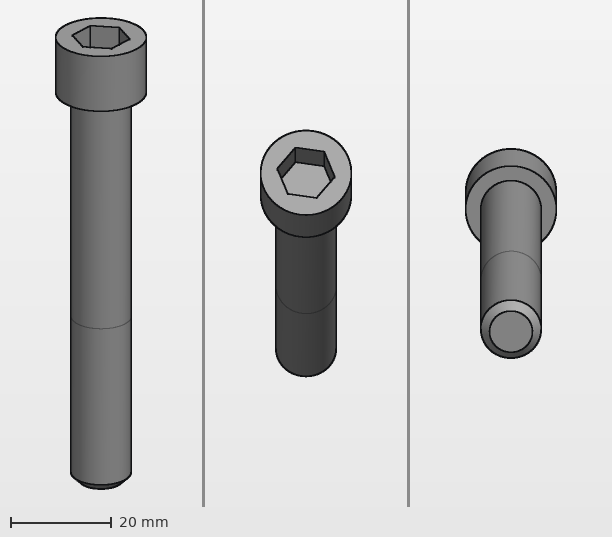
import cadquery as cq
import math

total_length = 97.0
shank_diameter = 12.0
head_diameter = 1.5 * shank_diameter
head_height = shank_diameter
thread_length = 36.0
tip_chamfer = 1.7
socket_across_flats = 10.0
socket_across_corners = socket_across_flats / math.cos(math.radians(30))
socket_depth = 8.0

shank_length = total_length - head_height


def make_threaded_end():
    """Plain cylinder standing for the thread, chamfered at the tip."""
    end = cq.Workplane("XY").circle(shank_diameter / 2).extrude(thread_length)
    return end.faces("<Z").chamfer(tip_chamfer)


def make_plain_shank():
    return (
        cq.Workplane("XY")
        .workplane(offset=thread_length)
        .circle(shank_diameter / 2)
        .extrude(shank_length - thread_length)
    )


def make_head():
    return (
        cq.Workplane("XY")
        .workplane(offset=shank_length)
        .circle(head_diameter / 2)
        .extrude(head_height)
    )


def make_hex_socket():
    """Hexagonal recess with two corners on the X axis."""
    return (
        cq.Workplane("XY")
        .workplane(offset=total_length)
        .polygon(6, socket_across_corners)
        .extrude(-socket_depth)
    )


result = (
    make_threaded_end()
    .union(make_plain_shank(), clean=False)
    .union(make_head(), clean=False)
    .cut(make_hex_socket(), clean=False)
)